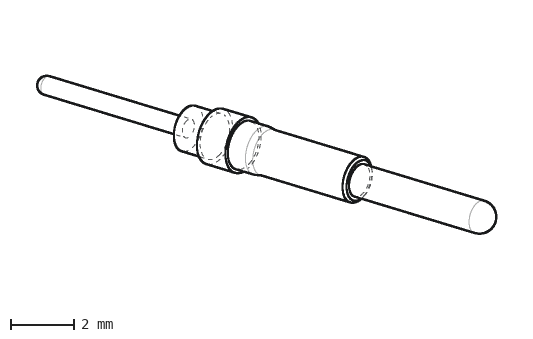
import cadquery as cq

total_length = 18.16

tail_diameter = 0.62
body_diameter = 1.5
collar_diameter = 1.83
press_band_diameter = 1.6
pin_diameter = 1.07

body_start = 5.97
collar_start = 7.03
collar_end = 8.17
press_band_end = 8.88
taper_end = 9.13
body_end = 12.82

body_chamfer = 0.09


def cylinder(start, end, diameter):
    """Round section along X between two positions."""
    return cq.Workplane("YZ", origin=(start, 0, 0)).circle(diameter / 2).extrude(end - start)


def taper(start, end, start_diameter, end_diameter):
    """Conical section along X between two positions."""
    return (
        cq.Workplane("YZ", origin=(start, 0, 0))
        .circle(start_diameter / 2)
        .workplane(offset=end - start)
        .circle(end_diameter / 2)
        .loft(ruled=True)
    )


def dome(center, diameter):
    """Ball that rounds off the end of a shaft of the same diameter."""
    return cq.Workplane("XY", origin=(center, 0, 0)).sphere(diameter / 2)


tail_dome_center = tail_diameter / 2
tail = cylinder(tail_dome_center, body_start, tail_diameter).union(dome(tail_dome_center, tail_diameter))

body = cylinder(body_start, body_end, body_diameter).faces(">X").edges().chamfer(body_chamfer)

collar = cylinder(collar_start, collar_end, collar_diameter)
press_band = cylinder(collar_end, press_band_end, press_band_diameter)
band_taper = taper(press_band_end, taper_end, press_band_diameter, body_diameter)

pin_dome_center = total_length - pin_diameter / 2
pin = cylinder(body_end, pin_dome_center, pin_diameter).union(dome(pin_dome_center, pin_diameter))

result = body.union(collar).union(press_band).union(band_taper).union(tail).union(pin)